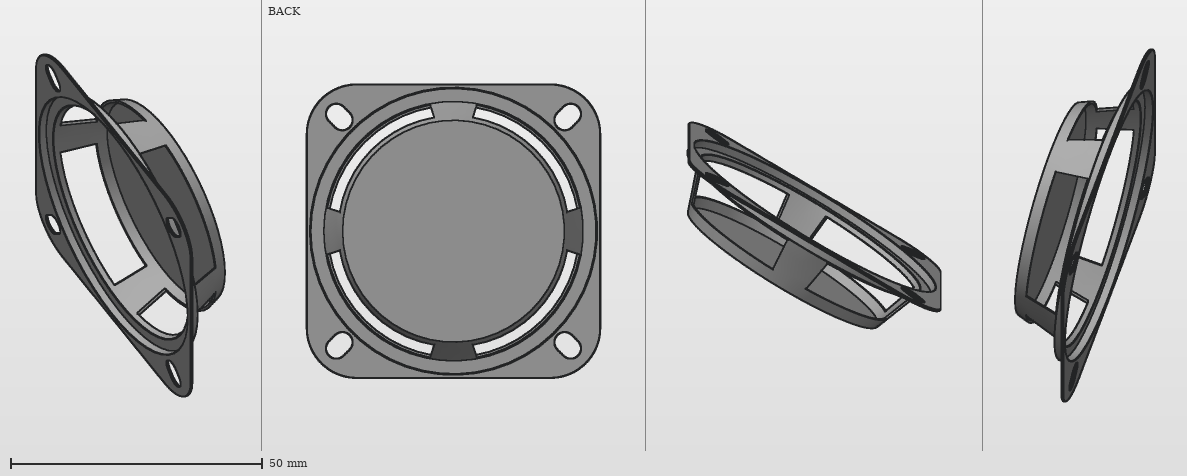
import cadquery as cq
import math

flange_side = 58.5
depth = 12.5
wall = 0.5
diagonal_angles = (45, 135, 225, 315)
edge_break = 0.1

corner_radius = 10.0
slot_width = 4.0
slot_center_spacing = 1.7
slot_circle_radius = 32.1

drum_outer_radius = 57.0 / 2
drum_inner_radius = 56.0 / 2
drum_back = 2.2
drum_floor = drum_back - wall
drum_root_radius = drum_outer_radius + edge_break

cone_front_radius = 25.8
cone_back_radius = 22.05
cone_slope = (cone_front_radius - cone_back_radius) / (depth - drum_back)
cone_wall_radial = wall * math.hypot(1, cone_slope)

window_front = 3.0
window_back = 10.0
window_front_half_width = 14.45
window_back_half_width = 13.3


def cone_outer_radius(y):
    return cone_back_radius + cone_slope * (depth - y)


def cone_inner_radius(y):
    return cone_outer_radius(y) - cone_wall_radial


def make_flange():
    """Square plate with slots and beveled edges, open where the drum joins it."""
    plate = cq.Workplane("XZ").rect(flange_side, flange_side).extrude(-wall).edges("|Y").fillet(corner_radius)
    plate = plate.cut(make_slots()).faces("<Y or >Y").edges().chamfer(edge_break)
    opening = cq.Workplane("XZ").circle(drum_root_radius).extrude(-wall)
    return plate.cut(opening)


def make_basket():
    """Revolve the thin wall of the drum, cone and back plate about the Y axis."""
    plate_front = depth - wall
    floor_opening_radius = cone_inner_radius(drum_floor)
    profile = [
        (drum_inner_radius + edge_break, 0),
        (drum_root_radius, 0),
        (drum_root_radius, wall),
        (drum_outer_radius, wall + edge_break),
        (drum_outer_radius, drum_back - edge_break),
        (drum_outer_radius - edge_break, drum_back),
        (cone_front_radius, drum_back),
        (cone_back_radius, depth),
        (0, depth),
        (0, plate_front),
        (cone_inner_radius(plate_front), plate_front),
        (cone_inner_radius(drum_floor + edge_break), drum_floor + edge_break),
        (floor_opening_radius + edge_break, drum_floor),
        (drum_inner_radius, drum_floor),
        (drum_inner_radius, edge_break),
    ]
    return cq.Workplane("XY").polyline(profile).close().revolve(360, (0, 0), (0, 1))


def make_windows():
    """Four tapered openings cut straight outward through the cone on its diagonals."""
    outline = [
        (-window_front_half_width, window_front),
        (window_front_half_width, window_front),
        (window_back_half_width, window_back),
        (-window_back_half_width, window_back),
    ]
    window = cq.Workplane("XY").polyline(outline).close().extrude(drum_outer_radius)
    windows = cq.Workplane("XY")
    for angle in diagonal_angles:
        windows = windows.add(window.rotate((0, 0, 0), (0, 1, 0), angle))
    return windows.combine()


def make_slots():
    """Four slots on the flange diagonals, each long in the radial direction."""
    return (
        cq.Workplane("XZ")
        .polarArray(slot_circle_radius, diagonal_angles[0], 360, len(diagonal_angles))
        .slot2D(slot_center_spacing + slot_width, slot_width)
        .extrude(-wall)
    )


result = make_flange().union(make_basket()).cut(make_windows())